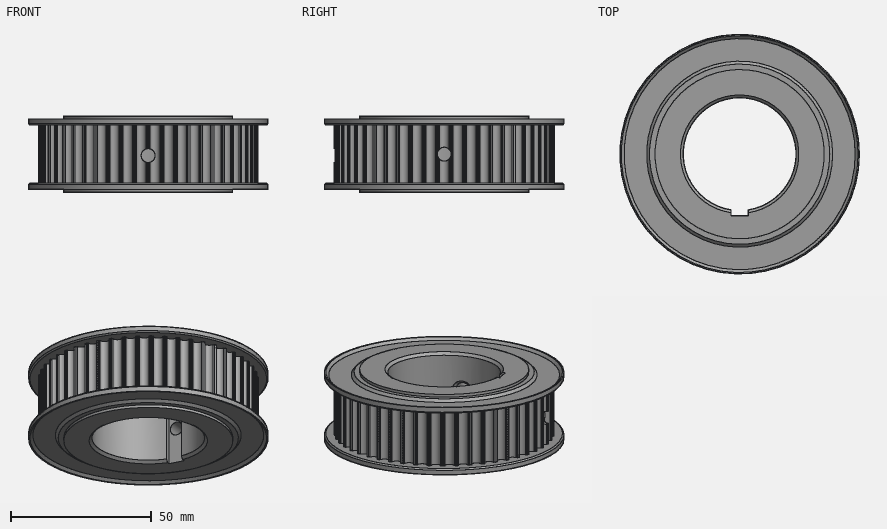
import cadquery as cq
import math

flange_radius = 42.5
half_height = 13.5

tooth_count = 50
tip_radius = 39.0
groove_radius = 1.7
tip_rounding = 0.3

hub_radius = 30.0
hub_step = 1.0
collar_radius = 32.0
collar_bevel = 1.0

flange_inner_z = 10.3
flange_edge_bevel = 0.5
dish_bevel = 1.0

bore_diameter = 39.95
bore_chamfer = 1.0
keyway_width = 5.95
keyway_depth = 21.85
screw_hole_diameter = 4.9
key_screw_z = -0.5
countersink_depth = 0.8

collar_z = half_height - hub_step
flange_outer_z = collar_z - collar_bevel
bore_radius = bore_diameter / 2
screw_hole_radius = screw_hole_diameter / 2
dish_outer_radius = flange_radius - flange_edge_bevel


def revolve_z(profile_points):
    """Revolve a closed (radius, height) outline about the Z axis."""
    outline = cq.Workplane("XZ").polyline(profile_points).close()
    return outline.revolve(360, (0, 0, 0), (0, 1, 0))


def make_rim():
    """Toothed cylinder with half-round belt grooves; one groove is centred on +X."""
    rounding_y = groove_radius + tip_rounding
    centre_x = math.sqrt((tip_radius - tip_rounding) ** 2 - rounding_y ** 2)
    rounding_angle = math.atan2(rounding_y, centre_x)
    mid_angle = (math.pi + rounding_angle) / 2
    rounding_mid = (
        centre_x + tip_rounding * math.cos(mid_angle),
        rounding_y - tip_rounding * math.sin(mid_angle),
    )
    tip_corner = (tip_radius * math.cos(rounding_angle), tip_radius * math.sin(rounding_angle))
    groove_edge = (centre_x, groove_radius)
    groove_floor = (centre_x - groove_radius, 0)

    def place(point, pitches, side=1):
        """Turn a point of the +X groove by whole pitches; side -1 mirrors it first."""
        angle = pitches * 2 * math.pi / tooth_count
        x, y = point[0], side * point[1]
        return (
            x * math.cos(angle) - y * math.sin(angle),
            x * math.sin(angle) + y * math.cos(angle),
        )

    outline = cq.Workplane("XY").workplane(offset=-flange_inner_z).moveTo(*place(tip_corner, 0, -1))
    for i in range(tooth_count):
        outline = (
            outline
            .threePointArc(place(rounding_mid, i, -1), place(groove_edge, i, -1))
            .threePointArc(place(groove_floor, i), place(groove_edge, i))
            .threePointArc(place(rounding_mid, i), place(tip_corner, i))
            .threePointArc(place((tip_radius, 0), i + 0.5), place(tip_corner, i + 1, -1))
        )
    return outline.close().extrude(2 * flange_inner_z)


def make_end():
    """Upper flange with its collar and the raised hub face."""
    return revolve_z([
        (0, flange_inner_z),
        (dish_outer_radius, flange_inner_z),
        (flange_radius, flange_inner_z + flange_edge_bevel),
        (flange_radius, collar_z),
        (dish_outer_radius, collar_z),
        (dish_outer_radius - dish_bevel, flange_outer_z),
        (collar_radius + collar_bevel, flange_outer_z),
        (collar_radius, collar_z),
        (hub_radius, collar_z),
        (hub_radius, half_height),
        (0, half_height),
    ])


def make_bore():
    """Through bore, chamfered at both ends."""
    mouth_radius = bore_radius + bore_chamfer
    return revolve_z([
        (0, -half_height),
        (mouth_radius, -half_height),
        (bore_radius, bore_chamfer - half_height),
        (bore_radius, half_height - bore_chamfer),
        (mouth_radius, half_height),
        (0, half_height),
    ])


def make_keyway():
    """Slot on the -Y side of the bore."""
    slot = cq.Workplane("XY").box(keyway_width, keyway_depth, 2 * half_height)
    return slot.translate((0, -keyway_depth / 2, 0))


def make_key_screw_hole():
    """Radial hole from the axis out through the keyway floor and rim on the -Y side."""
    return (
        cq.Workplane("XZ").center(0, key_screw_z)
        .circle(screw_hole_radius).extrude(flange_radius)
    )


def make_side_screw_hole():
    """Radial hole through the rim on +X at mid-height, with a 45-degree countersink at the bore."""
    cone_start_x = bore_radius - countersink_depth
    throat_x = bore_radius + countersink_depth
    cone_start_radius = screw_hole_radius + 2 * countersink_depth
    outline = cq.Workplane("XY").polyline([
        (cone_start_x, 0),
        (cone_start_x, cone_start_radius),
        (throat_x, screw_hole_radius),
        (flange_radius, screw_hole_radius),
        (flange_radius, 0),
    ]).close()
    return outline.revolve(360, (0, 0, 0), (1, 0, 0))


end = make_end()
result = make_rim().union(end).union(end.mirror("XY"))
result = result.cut(make_bore()).cut(make_keyway())
result = result.cut(make_key_screw_hole()).cut(make_side_screw_hole())